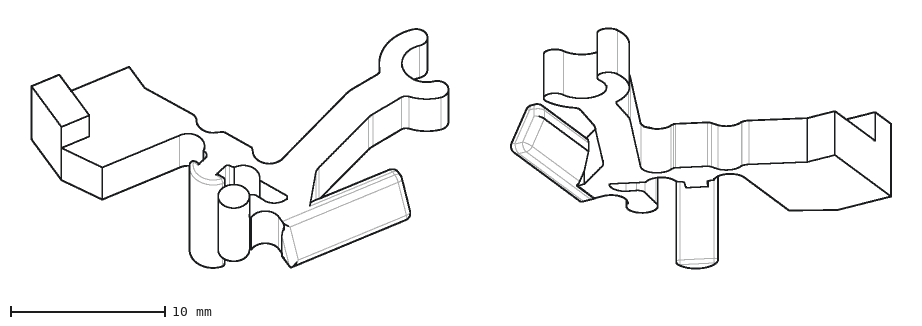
import cadquery as cq
import math

LENGTH = 25.45

PLATE_THICKNESS = 3.15
RAISED_TOP = 5.22
PIN_BOTTOM = -5.37

WEIGHT_WIDTH = 6.77
WEIGHT_SHOULDER = 7.23
WEIGHT_BEVEL_HEIGHT = 1.5
WEIGHT_WALL_TOP = 7.18
RAISED_WIDTH = 4.02
RAISED_DEPTH = 2.05

HINGE_RADIUS = 1.07

FORK_X = 9.05
FORK_INNER_RADIUS = 1.6
FORK_OUTER_RADIUS = 3.08
FORK_TILT = 12

PIN_X = 10.03
PIN_Y = 7.9
PIN_RADIUS = 1.53
PIN_FLAT_OFFSET = 0.35
PIN_FLAT_TILT = 23.5
PIN_EDGE_RADIUS = 0.25
PIN_END_RADIUS = 0.23

POST_X = 14.65
POST_Y = 6.87
POST_RADIUS = 1.02

BAR_LEFT = 15.65
BAR_RIGHT = 18.07
BAR_FRONT = 9.26
BAR_BACK = 18.25
BAR_SIDE_BOTTOM = 2.04
BAR_SLOPE = 27.3
BAR_RADIUS = 0.5
BAR_END_RADIUS = 0.48
BAR_FOOT_RADIUS = 0.18

WEB_FRONT = 9.45
WEB_BACK = 11.63
WEB_FOOT_HEIGHT = 2.04

STEM_LEFT = (9.1, 8.12)
STEM_RIGHT = (10.45, 8.68)
SLOT_MOUTH = (12.65, 9.87)
SLOT_END = (14.8, 10.85)
POST_ARM_SHOULDER = (13.4, 8.95)
ARM_ROOT_RIGHT = (13.67, 13.51)
ARM_BEND_RIGHT = (11.25, 18.83)
FORK_ROOT_RIGHT = (10.85, 21.65)
FORK_ROOT_LEFT = (8.3, 21.23)
ARM_BEND_LEFT = (8.7, 18.68)
ARM_ROOT_LEFT = (11.78, 11.99)
LINK_TOP_RIGHT = (9.95, 10.82)
LINK_TOP_LEFT = (7.86, 9.87)
WEIGHT_CREST = (5.75, 8.93)

ROUNDED_CORNERS = [
    (STEM_LEFT, 0.38),
    (STEM_RIGHT, 0.23),
    (SLOT_MOUTH, 0.13),
    (SLOT_END, 0.2),
    (POST_ARM_SHOULDER, 0.5),
    (ARM_ROOT_RIGHT, 1.02),
    (ARM_BEND_RIGHT, 1.53),
    (FORK_ROOT_RIGHT, 0.5),
    (FORK_ROOT_LEFT, 0.5),
    (ARM_BEND_LEFT, 2.04),
    (ARM_ROOT_LEFT, 0.5),
    (LINK_TOP_RIGHT, 0.2),
    (LINK_TOP_LEFT, 0.38),
    (WEIGHT_CREST, 0.76),
]

fork_mid_radius = (FORK_INNER_RADIUS + FORK_OUTER_RADIUS) / 2
fork_tip_radius = (FORK_OUTER_RADIUS - FORK_INNER_RADIUS) / 2
fork_y = LENGTH - fork_tip_radius - fork_mid_radius * math.sin(math.radians(FORK_TILT))
slope_run = math.tan(math.radians(BAR_SLOPE))
half_corner_slope = math.tan(math.radians(90 - BAR_SLOPE) / 2)
bar_foot_x = BAR_LEFT + BAR_SIDE_BOTTOM * slope_run
bar_nose_x = BAR_RIGHT - BAR_RADIUS + BAR_RADIUS / half_corner_slope
bar_top_corner_x = bar_nose_x - PLATE_THICKNESS * slope_run
web_right = bar_top_corner_x - BAR_RADIUS * half_corner_slope


def round_corner(solid, corner, radius):
    """Round the upright edge of the plate nearest to a corner."""
    nearest = cq.NearestToPointSelector((*corner, PLATE_THICKNESS / 2))
    return solid.edges("|Z").edges(nearest).fillet(radius)


def make_fork():
    fork = (
        cq.Workplane("XY")
        .circle(FORK_OUTER_RADIUS)
        .circle(FORK_INNER_RADIUS)
        .extrude(PLATE_THICKNESS)
    )
    open_half = (
        cq.Workplane("XY")
        .center(0, FORK_OUTER_RADIUS)
        .rect(2 * FORK_OUTER_RADIUS, 2 * FORK_OUTER_RADIUS)
        .extrude(PLATE_THICKNESS)
    )
    fork = fork.cut(open_half)
    tips = (
        cq.Workplane("XY")
        .pushPoints([(-fork_mid_radius, 0), (fork_mid_radius, 0)])
        .circle(fork_tip_radius)
        .extrude(PLATE_THICKNESS)
    )
    fork = fork.union(tips)
    return fork.rotate((0, 0, 0), (0, 0, 1), -FORK_TILT).translate((FORK_X, fork_y, 0))


def make_plate():
    outline = (
        cq.Workplane("XY")
        .lineTo(RAISED_WIDTH, 0)
        .lineTo(WEIGHT_WIDTH, WEIGHT_BEVEL_HEIGHT)
        .lineTo(WEIGHT_WIDTH, WEIGHT_WALL_TOP)
        .radiusArc((8.68, 7.91), HINGE_RADIUS)
        .lineTo(*STEM_LEFT)
        .lineTo(9.6, 6.97)
        .lineTo(10.92, 7.55)
        .lineTo(*STEM_RIGHT)
        .lineTo(10.9, 8.98)
        .radiusArc(SLOT_MOUTH, HINGE_RADIUS)
        .lineTo(*SLOT_END)
        .threePointArc((14.95, 10.0), (14.43, 9.35))
        .lineTo(*POST_ARM_SHOULDER)
        .lineTo(POST_X - POST_RADIUS, POST_Y)
        .lineTo(POST_X, POST_Y)
        .lineTo(15.22, 7.85)
        .threePointArc((15.25, 9.03), (15.93, WEB_FRONT))
        .lineTo(web_right, WEB_FRONT)
        .lineTo(web_right, WEB_BACK)
        .lineTo(16.2, WEB_BACK)
        .lineTo(*ARM_ROOT_RIGHT)
        .lineTo(*ARM_BEND_RIGHT)
        .lineTo(10.75, 21.89)
        .lineTo(FORK_X, fork_y - fork_mid_radius)
        .lineTo(8.25, 21.53)
        .lineTo(*ARM_BEND_LEFT)
        .lineTo(*ARM_ROOT_LEFT)
        .radiusArc((10.25, 10.71), HINGE_RADIUS)
        .lineTo(*LINK_TOP_RIGHT)
        .lineTo(*LINK_TOP_LEFT)
        .lineTo(7.6, 9.25)
        .radiusArc((6.08, 8.85), HINGE_RADIUS)
        .lineTo(*WEIGHT_CREST)
        .lineTo(2.09, WEIGHT_SHOULDER)
        .lineTo(0, WEIGHT_SHOULDER)
        .close()
    )
    plate = outline.extrude(PLATE_THICKNESS).union(make_fork())
    for corner, radius in ROUNDED_CORNERS:
        plate = round_corner(plate, corner, radius)
    return plate


def make_raised_block():
    return cq.Workplane("XY").box(RAISED_WIDTH, RAISED_DEPTH, RAISED_TOP, centered=False)


def make_post():
    return cq.Workplane("XY").center(POST_X, POST_Y).circle(POST_RADIUS).extrude(RAISED_TOP)


def make_pin():
    height = PLATE_THICKNESS - PIN_BOTTOM
    half_flat = math.sqrt(PIN_RADIUS**2 - PIN_FLAT_OFFSET**2)
    pin = (
        cq.Workplane("XY")
        .moveTo(-half_flat, -PIN_FLAT_OFFSET)
        .threePointArc((0, -PIN_RADIUS), (half_flat, -PIN_FLAT_OFFSET))
        .close()
        .extrude(height)
        .edges("|Z")
        .fillet(PIN_EDGE_RADIUS)
        .faces("<Z or >Z")
        .edges()
        .fillet(PIN_END_RADIUS)
    )
    return pin.rotate((0, 0, 0), (0, 0, 1), PIN_FLAT_TILT).translate((PIN_X, PIN_Y, PIN_BOTTOM))


def make_sharp_bar():
    return (
        cq.Workplane("XZ", origin=(0, BAR_BACK, 0))
        .moveTo(bar_foot_x, 0)
        .lineTo(bar_nose_x, 0)
        .lineTo(bar_top_corner_x, PLATE_THICKNESS)
        .lineTo(BAR_LEFT, PLATE_THICKNESS)
        .lineTo(BAR_LEFT, BAR_SIDE_BOTTOM)
        .close()
        .extrude(BAR_BACK - BAR_FRONT)
    )


def make_bar():
    long_rounded = make_sharp_bar().edges("|Y and (>X or >Z or <Z)").fillet(BAR_RADIUS)
    long_rounded = long_rounded.faces(">Y").edges().fillet(BAR_END_RADIUS)
    slope_middle_x = (bar_nose_x + bar_top_corner_x) / 2
    front_slope = cq.NearestToPointSelector((slope_middle_x, BAR_FRONT, PLATE_THICKNESS / 2))
    front_rounded = make_sharp_bar().edges(front_slope).fillet(BAR_RADIUS)
    front_rounded = front_rounded.faces("<Y").edges("<Z").fillet(BAR_FOOT_RADIUS)
    bar = long_rounded.intersect(front_rounded)
    flush_cut = (
        cq.Workplane("XY", origin=(BAR_LEFT, BAR_FRONT, 0))
        .box(bar_top_corner_x - BAR_LEFT, WEB_FRONT - BAR_FRONT, PLATE_THICKNESS, centered=False)
    )
    web_foot = (
        cq.Workplane("XY", origin=(web_right, WEB_FRONT, 0))
        .box(bar_top_corner_x - web_right, WEB_BACK - WEB_FRONT, WEB_FOOT_HEIGHT, centered=False)
    )
    return bar.cut(flush_cut).union(web_foot)


result = (
    make_plate()
    .union(make_raised_block())
    .union(make_post())
    .union(make_pin())
    .union(make_bar())
)